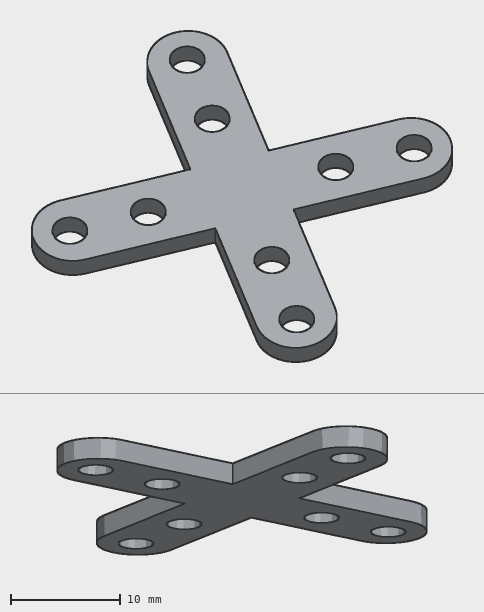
import cadquery as cq

span = 40.0
thickness = 2.0
arm_width = 7.5
hole_diameter = 3.2
inner_hole_radius = 9.0
hole_spacing = 7.5

outer_hole_radius = inner_hole_radius + hole_spacing


def rounded_bar(angle):
    """Flat bar through the centre with fully rounded ends."""
    return cq.Workplane("XY").slot2D(span, arm_width, angle).extrude(thickness)


cross = rounded_bar(0).union(rounded_bar(90))

hole_centres = []
for distance in (inner_hole_radius, outer_hole_radius):
    hole_centres += [(distance, 0), (-distance, 0), (0, distance), (0, -distance)]

result = cross.faces(">Z").workplane(origin=(0, 0, thickness)).pushPoints(hole_centres).hole(hole_diameter)